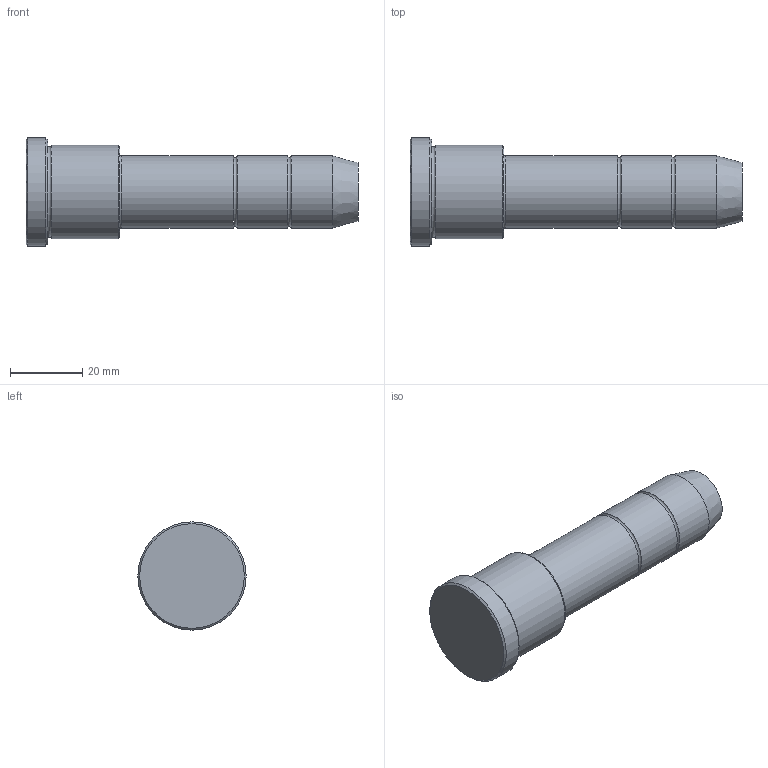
import cadquery as cq
import math

overall_length = 92.0

head_radius = 15.0
head_thickness = 6.0
head_chamfer = 0.5

shoulder_radius = 13.0
shoulder_end = 26.0
shoulder_chamfer_length = 0.5
shoulder_chamfer_depth = 0.3

shaft_radius = 10.0
shaft_root_radius = 0.5

groove_radius = 0.5
shaft_groove_positions = (58.0, 73.0)

tip_length = 7.0
tip_angle = 15.0


def stepped_body():
    """Revolve the half profile of head, shoulder, shaft and tapered tip."""
    tip_radius = shaft_radius - tip_length * math.tan(math.radians(tip_angle))
    profile = (
        cq.Workplane("XY")
        .lineTo(0, head_radius - head_chamfer)
        .lineTo(head_chamfer, head_radius)
        .lineTo(head_thickness - head_chamfer, head_radius)
        .lineTo(head_thickness, head_radius - head_chamfer)
        .lineTo(head_thickness, shoulder_radius)
        .lineTo(shoulder_end - shoulder_chamfer_length, shoulder_radius)
        .lineTo(shoulder_end, shoulder_radius - shoulder_chamfer_depth)
        .lineTo(shoulder_end, shaft_radius + shaft_root_radius)
        .radiusArc((shoulder_end + shaft_root_radius, shaft_radius), -shaft_root_radius)
        .lineTo(overall_length - tip_length, shaft_radius)
        .lineTo(overall_length, tip_radius)
        .lineTo(overall_length, 0)
        .close()
    )
    return profile.revolve(360, (0, 0, 0), (1, 0, 0))


def ring_groove(position, surface_radius):
    """Half-round groove around a cylinder, centred at the given distance along X."""
    section = cq.Workplane("XY").center(position, surface_radius).circle(groove_radius)
    return section.revolve(360, (0, -surface_radius, 0), (1, -surface_radius, 0))


relief_position = head_thickness + groove_radius

result = stepped_body().cut(ring_groove(relief_position, shoulder_radius))
for groove_position in shaft_groove_positions:
    result = result.cut(ring_groove(groove_position, shaft_radius))